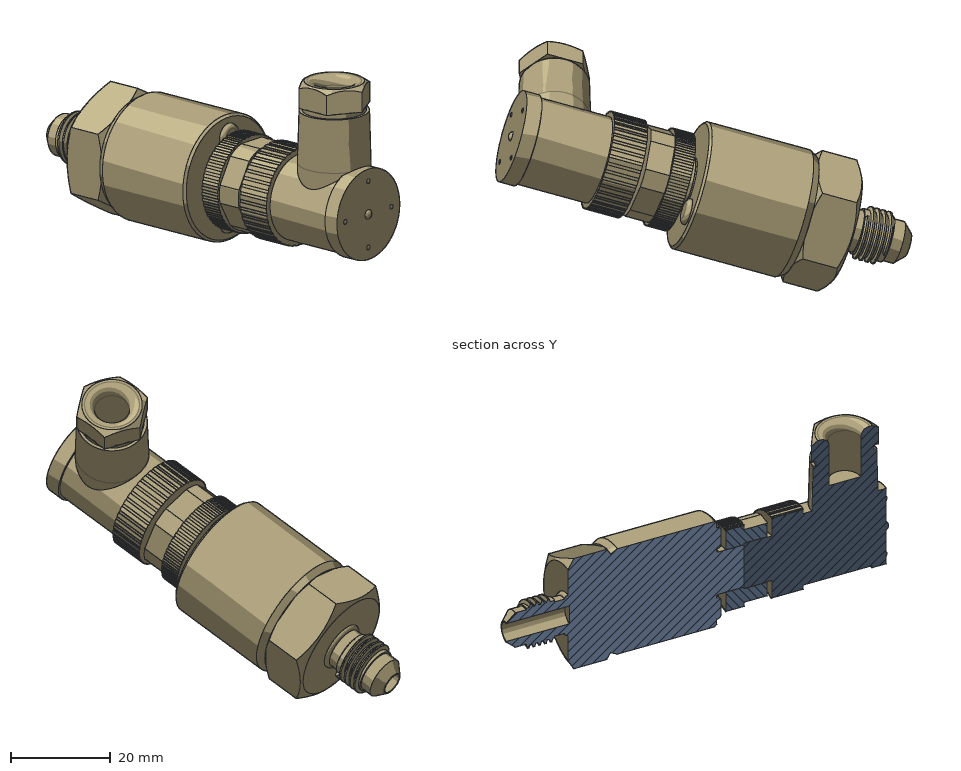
import cadquery as cq
import math


tip_diameter = 4.9
bore_diameter = 4.34
bore_depth = 14.0
stem_diameter = 8.74
cone_length = 2.0
thread_start = 4.4
thread_end = 10.75
thread_diameter = 11.04
thread_root_diameter = 9.47
thread_pitch = 1.27
thread_base_width = 1.0
thread_crest_width = 0.35
thread_sink = 0.15
stem_fillet = 0.75

hex_start = 13.66
hex_end = 23.15
hex_flats = 24.0
hex_corner_radius = hex_flats / math.sqrt(3)
hex_front_radius = 11.5
hex_rear_radius = 12.4
chamfer_slope = math.tan(math.radians(30))
housing_end = 46.7
housing_diameter = 26.5
housing_rear_chamfer = 0.5

collar_diameter = 11.2
collar_length = 0.3
neck_diameter = 10.74
screw_diameter = 5.4
screw_height = 1.0
screw_edge_radius = 0.95
screw_offset = 8.8

nut_start = 48.65
nut_knurl_end = 52.85
nut_end = 57.95
nut_flats = 18.28
nut_corner_diameter = 19.3
knurl_diameter = 20.36
groove_depth = 0.15
fine_groove_count = 50
fine_groove_width = 0.6

link_diameter = 11.2
clamp_start = 58.85
clamp_end = 65.9
coarse_groove_count = 40
coarse_groove_width = 0.6
elbow_diameter = 18.0
cap_start = 81.1
cap_end = 84.3
cap_diameter = 19.0
total_length = 84.86
nub_diameter = 2.0
dot_diameter = 1.0
dot_height = 0.2
dot_offset = 6.95
dot_count = 4

outlet_x = 75.13
outlet_base_diameter = 14.8
outlet_top_diameter = 14.2
outlet_top = 20.1
groove_diameter = 12.9
gland_start = 21.1
total_height = 40.06
gland_top = total_height - hex_corner_radius
gland_flats = 13.0
gland_corner_radius = gland_flats / math.sqrt(3)
gland_top_diameter = 12.15
gland_chamfer_height = 0.95
mouth_diameter = 11.01
cable_bore_diameter = 7.0
cable_bore_depth = 12.0


def cylinder_x(diameter, start, end):
    """Cylinder on the X axis from start to end."""
    return cq.Workplane("YZ", origin=(start, 0, 0)).circle(diameter / 2).extrude(end - start)


def revolve_x(profile):
    """Solid of revolution about the X axis from (x, radius) points."""
    return cq.Workplane("XY").polyline(profile).close().revolve(360, (0, 0, 0), (1, 0, 0))


def hexagon_x(flats, start, end):
    """Hexagonal bar on the X axis with its corners along Y."""
    return cq.Workplane("YZ", origin=(start, 0, 0)).polygon(6, 2 * flats / math.sqrt(3)).extrude(end - start)


def dome_x(diameter, height, x, y=0.0, z=0.0):
    """Spherical cap that stands on the plane at x and bulges toward +X."""
    radius = diameter / 2
    sphere_radius = (radius**2 + height**2) / (2 * height)
    profile = cq.Workplane("XY").lineTo(height, 0).radiusArc((0, radius), -sphere_radius).close()
    return profile.revolve(360, (0, 0, 0), (1, 0, 0)).translate((x, y, z))


def knurled_ring(start, end, groove_count, groove_width):
    """Ring blank with straight axial grooves around its rim."""
    length = end - start
    grooves = (
        cq.Workplane("YZ", origin=(start, 0, 0))
        .polarArray(knurl_diameter / 2, 0, 360, groove_count)
        .rect(2 * groove_depth, groove_width)
        .extrude(length)
    )
    return cylinder_x(knurl_diameter, start, end).cut(grooves)


def thread_ridge():
    """Right-hand helical ridge that winds along the threaded length."""
    root = thread_root_diameter / 2
    inner = root - thread_sink
    crest = thread_diameter / 2
    height = thread_end - thread_start - thread_base_width
    path = cq.Workplane(obj=cq.Wire.makeHelix(thread_pitch, height, root))
    ridge = (
        cq.Workplane("XZ")
        .polyline(
            [
                (inner, -thread_base_width / 2),
                (crest, -thread_crest_width / 2),
                (crest, thread_crest_width / 2),
                (inner, thread_base_width / 2),
            ]
        )
        .close()
        .sweep(path, isFrenet=True)
    )
    along_x = ridge.rotate((0, 0, 0), (0, 1, 0), 90)
    return along_x.translate((thread_start + thread_base_width / 2, 0, 0))


def fitting():
    """Flared tip, thread and stem up to the hexagon."""
    stem_radius = stem_diameter / 2
    root = thread_root_diameter / 2
    stem = (
        cq.Workplane("XY")
        .lineTo(0, tip_diameter / 2)
        .lineTo(cone_length, stem_radius)
        .lineTo(thread_start, stem_radius)
        .lineTo(thread_start, root)
        .lineTo(thread_end, root)
        .lineTo(thread_end, stem_radius)
        .lineTo(hex_start - stem_fillet, stem_radius)
        .radiusArc((hex_start, stem_radius + stem_fillet), stem_fillet)
        .lineTo(hex_start, 0)
        .close()
        .revolve(360, (0, 0, 0), (1, 0, 0))
    )
    return stem.union(thread_ridge())


def chamfered_hexagon():
    """Large hexagon with corners along Z, its corners turned off at both ends."""
    front_length = (hex_corner_radius - hex_front_radius) * chamfer_slope
    rear_length = (hex_corner_radius - hex_rear_radius) * chamfer_slope
    envelope = revolve_x(
        [
            (hex_start, 0),
            (hex_start, hex_front_radius),
            (hex_start + front_length, hex_corner_radius),
            (hex_end - rear_length, hex_corner_radius),
            (hex_end, hex_rear_radius),
            (hex_end, 0),
        ]
    )
    bar = hexagon_x(hex_flats, hex_start, hex_end).rotate((0, 0, 0), (1, 0, 0), 90)
    return bar.intersect(envelope)


def barrel():
    """Cylindrical housing with a conical front shoulder and a chamfered rear edge."""
    radius = housing_diameter / 2
    shoulder_length = (radius - hex_rear_radius) / chamfer_slope
    return revolve_x(
        [
            (hex_end, 0),
            (hex_end, hex_rear_radius),
            (hex_end + shoulder_length, radius),
            (housing_end - housing_rear_chamfer, radius),
            (housing_end, radius - housing_rear_chamfer),
            (housing_end, 0),
        ]
    )


def make_housing():
    """Pressure fitting, hexagon, barrel, screw heads and the neck that enters the coupling nut."""
    body = fitting().union(chamfered_hexagon()).union(barrel())
    body = body.union(cylinder_x(collar_diameter, housing_end, housing_end + collar_length))
    body = body.union(cylinder_x(neck_diameter, housing_end, nut_knurl_end))
    for side in (1, -1):
        screw = cylinder_x(screw_diameter, housing_end, housing_end + screw_height)
        screw = screw.faces(">X").edges().fillet(screw_edge_radius)
        body = body.union(screw.translate((0, 0, side * screw_offset)))
    return body.cut(cylinder_x(bore_diameter, 0, bore_depth))


def make_coupling_nut():
    """Knurled ring and hexagon, bored to take the housing neck and the connector link."""
    ring = knurled_ring(nut_start, nut_knurl_end, fine_groove_count, fine_groove_width)
    grip = hexagon_x(nut_flats, nut_knurl_end, nut_end)
    grip = grip.intersect(cylinder_x(nut_corner_diameter, nut_knurl_end, nut_end))
    nut = ring.union(grip)
    nut = nut.cut(cylinder_x(neck_diameter, nut_start, nut_knurl_end))
    return nut.cut(cylinder_x(link_diameter, nut_knurl_end, nut_end))


def outlet_tube():
    """Outlet: straight inside the elbow, tapered above it, with a narrow gap under the gland."""
    elbow_top = elbow_diameter / 2
    base_radius = outlet_base_diameter / 2
    groove_radius = groove_diameter / 2
    return (
        cq.Workplane("XZ")
        .polyline(
            [
                (0, 0),
                (base_radius, 0),
                (base_radius, elbow_top),
                (outlet_top_diameter / 2, outlet_top),
                (groove_radius, outlet_top),
                (groove_radius, gland_start),
                (0, gland_start),
            ]
        )
        .close()
        .revolve(360, (0, 0, 0), (0, 1, 0))
    )


def gland():
    """Hexagonal gland with corners along X and a conical chamfer on top."""
    shoulder = gland_top - gland_chamfer_height
    bar = (
        cq.Workplane("XY", origin=(0, 0, gland_start))
        .polygon(6, 2 * gland_corner_radius)
        .extrude(gland_top - gland_start)
    )
    envelope = (
        cq.Workplane("XZ")
        .polyline(
            [
                (0, gland_start),
                (gland_corner_radius, gland_start),
                (gland_corner_radius, shoulder),
                (gland_top_diameter / 2, gland_top),
                (0, gland_top),
            ]
        )
        .close()
        .revolve(360, (0, 0, 0), (0, 1, 0))
    )
    return bar.intersect(envelope)


def cable_bore():
    """Blind cable hole with a rounded mouth."""
    bore_radius = cable_bore_diameter / 2
    mouth_radius = mouth_diameter / 2
    mouth_rounding = mouth_radius - bore_radius
    floor = gland_top - cable_bore_depth
    return (
        cq.Workplane("XZ")
        .moveTo(0, floor)
        .lineTo(bore_radius, floor)
        .lineTo(bore_radius, gland_top - mouth_rounding)
        .radiusArc((mouth_radius, gland_top), mouth_rounding)
        .lineTo(0, gland_top)
        .close()
        .revolve(360, (0, 0, 0), (0, 1, 0))
    )


def make_connector():
    """Angled connector: link, knurled clamp ring, elbow, end cap, outlet and gland."""
    body = cylinder_x(link_diameter, nut_knurl_end, clamp_start)
    body = body.union(knurled_ring(clamp_start, clamp_end, coarse_groove_count, coarse_groove_width))
    body = body.union(cylinder_x(elbow_diameter, clamp_end, cap_start))
    body = body.union(cylinder_x(cap_diameter, cap_start, cap_end))
    body = body.union(dome_x(nub_diameter, total_length - cap_end, cap_end))
    for index in range(dot_count):
        angle = 2 * math.pi * index / dot_count
        y = dot_offset * math.cos(angle)
        z = dot_offset * math.sin(angle)
        body = body.union(dome_x(dot_diameter, dot_height, cap_end, y, z))
    outlet = outlet_tube().union(gland()).translate((outlet_x, 0, 0))
    return body.union(outlet).cut(cable_bore().translate((outlet_x, 0, 0)))


housing = make_housing()
coupling_nut = make_coupling_nut()
connector = make_connector()

bodies = [housing, coupling_nut, connector]
result = cq.Compound.makeCompound([body.solids().val() for body in bodies])